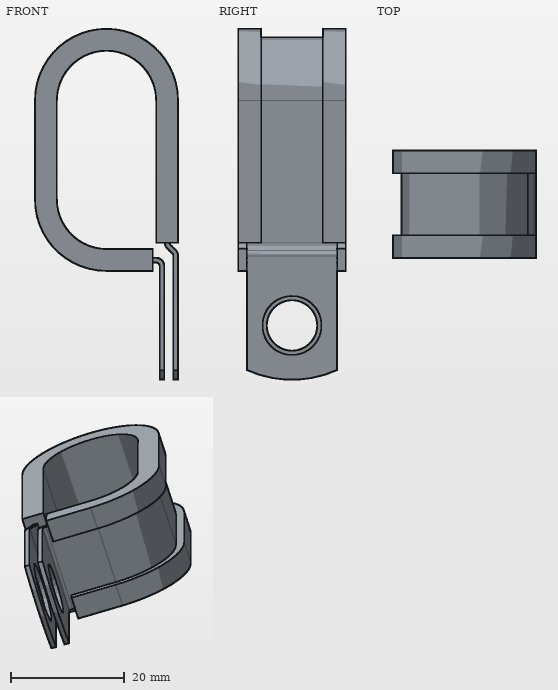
import cadquery as cq
import math

total_height = 61.7
loop_width = 25.2
loop_depth = 18.95
loop_bottom = 19.15
cushion_thickness = 3.9
long_leg_end = 24.1
short_leg_end = 8.15

groove_width = 10.85
groove_depth = 1.5

strap_thickness = 0.85
tab_width = 15.85
tab_bend_radius = 1.5
inner_tab_face = 10.2
offset_bend_height = 2.2
tip_height = 1.7
inner_hole_diameter = 8.8
outer_hole_diameter = 10.35
hole_height = 9.55

outer_radius = loop_width / 2
upper_center = total_height - outer_radius
lower_center = loop_bottom + outer_radius
strap_inset = groove_depth + strap_thickness


def loop_edge(sketch, radius, reverse=False):
    """Trace the loop at one radius, between the straight leg and the bottom leg."""
    diagonal = radius * math.sqrt(0.5)
    corner = (-diagonal, lower_center - diagonal)
    if reverse:
        return (
            sketch.lineTo(0, lower_center - radius)
            .threePointArc(corner, (-radius, lower_center))
            .lineTo(-radius, upper_center)
            .threePointArc((0, upper_center + radius), (radius, upper_center))
            .lineTo(radius, long_leg_end)
        )
    return (
        sketch.lineTo(radius, upper_center)
        .threePointArc((0, upper_center + radius), (-radius, upper_center))
        .lineTo(-radius, lower_center)
        .threePointArc(corner, (0, lower_center - radius))
        .lineTo(short_leg_end, lower_center - radius)
    )


def loop_band(outer_inset, inner_inset, width):
    """Loop-shaped band between two depths below the cushion's outer face."""
    outer = outer_radius - outer_inset
    inner = outer_radius - inner_inset
    sketch = loop_edge(cq.Workplane("XZ").moveTo(outer, long_leg_end), outer)
    sketch = sketch.lineTo(short_leg_end, lower_center - inner)
    sketch = loop_edge(sketch, inner, reverse=True)
    return sketch.close().extrude(width / 2, both=True)


def make_inner_tab():
    """Tab bent down from the end of the bottom leg."""
    bend_x = inner_tab_face - tab_bend_radius
    strap_top = loop_bottom + strap_inset
    strap_underside = loop_bottom + groove_depth
    bend_z = strap_top - tab_bend_radius
    inside_radius = tab_bend_radius - strap_thickness
    outside_mid = tab_bend_radius * math.sqrt(0.5)
    inside_mid = inside_radius * math.sqrt(0.5)
    return (
        cq.Workplane("XZ")
        .moveTo(short_leg_end, strap_top)
        .lineTo(bend_x, strap_top)
        .threePointArc((bend_x + outside_mid, bend_z + outside_mid), (inner_tab_face, bend_z))
        .lineTo(inner_tab_face, 0)
        .lineTo(inner_tab_face - strap_thickness, 0)
        .lineTo(inner_tab_face - strap_thickness, bend_z)
        .threePointArc((bend_x + inside_mid, bend_z + inside_mid), (bend_x, strap_underside))
        .lineTo(short_leg_end, strap_underside)
        .close()
        .extrude(tab_width / 2, both=True)
    )


def make_outer_tab():
    """Tab stepped outward from the straight leg by two opposite arcs and a 45 degree slope."""
    bend_angle = math.pi / 4
    arc_difference = 2 * (math.sin(bend_angle) + math.cos(bend_angle) - 1)
    middle_radius = (offset_bend_height - groove_depth) / arc_difference
    large = middle_radius + strap_thickness / 2
    small = middle_radius - strap_thickness / 2
    bend_end = long_leg_end - offset_bend_height
    strap_face = outer_radius - groove_depth
    upper_x = strap_face + small
    lower_x = outer_radius - large

    def upper_point(radius, angle):
        return (upper_x - radius * math.cos(angle), long_leg_end - radius * math.sin(angle))

    def lower_point(radius, angle):
        return (lower_x + radius * math.cos(angle), bend_end + radius * math.sin(angle))

    half = bend_angle / 2
    return (
        cq.Workplane("XZ")
        .moveTo(*upper_point(small, 0))
        .threePointArc(upper_point(small, half), upper_point(small, bend_angle))
        .lineTo(*lower_point(large, bend_angle))
        .threePointArc(lower_point(large, half), lower_point(large, 0))
        .lineTo(outer_radius, 0)
        .lineTo(outer_radius - strap_thickness, 0)
        .lineTo(*lower_point(small, 0))
        .threePointArc(lower_point(small, half), lower_point(small, bend_angle))
        .lineTo(*upper_point(large, bend_angle))
        .threePointArc(upper_point(large, half), upper_point(large, 0))
        .close()
        .extrude(tab_width / 2, both=True)
    )


def make_tab_outline(hole_diameter):
    """Solid bounding a tab: straight sides, curved tip and screw hole."""
    half_width = tab_width / 2
    blank = (
        cq.Workplane("YZ")
        .moveTo(-half_width, long_leg_end)
        .lineTo(-half_width, tip_height)
        .threePointArc((0, 0), (half_width, tip_height))
        .lineTo(half_width, long_leg_end)
        .close()
        .extrude(loop_width)
    )
    hole = cq.Workplane("YZ").center(0, hole_height).circle(hole_diameter / 2).extrude(loop_width)
    return blank.cut(hole)


cushion = loop_band(0, cushion_thickness, loop_depth)
groove = loop_band(0, groove_depth, groove_width)
inner_tab = make_inner_tab().intersect(make_tab_outline(inner_hole_diameter))
outer_tab = make_outer_tab().intersect(make_tab_outline(outer_hole_diameter))
result = cushion.cut(groove).union(inner_tab).union(outer_tab)